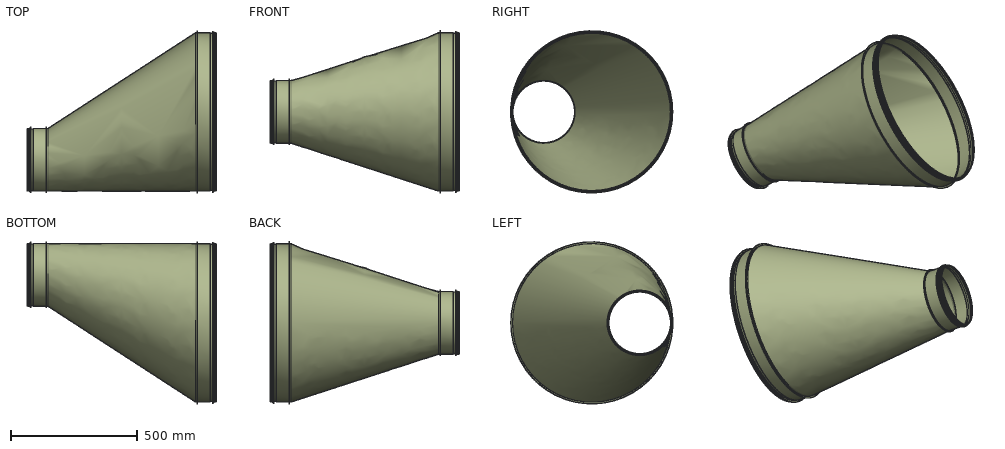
import cadquery as cq

length = 750.0
wall = 0.5
small_diameter = 249.0
large_diameter = 629.0
small_flange_diameter = 259.5
large_flange_diameter = 643.0
axis_offset = (large_diameter - small_diameter) / 2

flange_position = 76.5
flange_thickness = 1.1
stub_end = 82.5
step_start = 24.0
step_end = 26.0
step_depth = 1.9
lip_slope = 3.0
lip_end = 7.0

gasket_end = 16.5
shoulder_start = 9.0
shoulder_end = 11.0
shoulder_height = 1.5
fin_crest = 13.5
fin_height = 4.9


def ring(profile):
    """Revolve a closed (distance, radius) profile about the X axis."""
    return cq.Workplane("XY").polyline(profile).close().revolve(360, (0, 0, 0), (1, 0, 0))


def make_collar(diameter, flange_diameter):
    """Tube with a lipped, hemmed gasket seat at X = 0 and a flange at the other end."""
    radius = diameter / 2
    seat = radius - step_depth
    hem = seat - 2 * wall
    return ring([
        (lip_slope, hem),
        (0, seat - wall),
        (0, seat),
        (lip_slope, radius),
        (lip_end, radius),
        (lip_end, seat),
        (step_start, seat),
        (step_end, radius),
        (flange_position - flange_thickness, radius),
        (flange_position - flange_thickness, flange_diameter / 2),
        (flange_position, flange_diameter / 2),
        (flange_position, radius - wall),
        (step_end, radius - wall),
        (step_start, seat - wall),
        (gasket_end, seat - wall),
        (gasket_end, hem),
    ])


def make_gasket(diameter):
    """Seal ring behind the lip, with one fin leaning away from the open end."""
    radius = diameter / 2
    seat = radius - step_depth
    return ring([
        (lip_end, seat),
        (lip_end, radius),
        (shoulder_start, radius),
        (shoulder_start, radius + shoulder_height),
        (shoulder_end, radius + shoulder_height),
        (fin_crest, radius + fin_height),
        (gasket_end, radius + fin_height),
        (gasket_end, seat),
    ])


def place_small(body):
    """Move a part built at the origin onto the axis of the small end."""
    return body.translate((0, -axis_offset, 0))


def place_large(body):
    """Turn a part built at the origin to face the large end."""
    return body.mirror("YZ").translate((length, 0, 0))


def make_stub(diameter, flange_diameter):
    """Solid short neck of the cone with the flange that meets the collar flange."""
    flange = cq.Workplane("YZ", origin=(flange_position, 0, 0)).circle(flange_diameter / 2)
    neck = cq.Workplane("YZ", origin=(flange_position, 0, 0)).circle(diameter / 2)
    return flange.extrude(flange_thickness).union(neck.extrude(stub_end - flange_position))


def make_bore(diameter):
    """Space inside a neck of the cone."""
    neck = cq.Workplane("YZ", origin=(flange_position, 0, 0)).circle(diameter / 2 - wall)
    return neck.extrude(stub_end - flange_position)


def make_taper(inset):
    """Solid oblique cone between the two necks, its radii reduced by the inset."""
    return (
        cq.Workplane("YZ", origin=(stub_end, -axis_offset, 0))
        .circle(small_diameter / 2 - inset)
        .workplane(offset=length - 2 * stub_end)
        .center(axis_offset, 0)
        .circle(large_diameter / 2 - inset)
        .loft(ruled=True)
    )


def make_cone():
    """Thin oblique cone with a flanged neck at each end."""
    outside = (
        make_taper(0)
        .union(place_small(make_stub(small_diameter, small_flange_diameter)))
        .union(place_large(make_stub(large_diameter, large_flange_diameter)))
    )
    return (
        outside
        .cut(make_taper(wall))
        .cut(place_small(make_bore(small_diameter)))
        .cut(place_large(make_bore(large_diameter)))
    )


cone = make_cone()
small_collar = place_small(make_collar(small_diameter, small_flange_diameter))
large_collar = place_large(make_collar(large_diameter, large_flange_diameter))
small_gasket = place_small(make_gasket(small_diameter))
large_gasket = place_large(make_gasket(large_diameter))

result = cq.Compound.makeCompound([
    cone.val(),
    small_collar.val(),
    large_collar.val(),
    small_gasket.val(),
    large_gasket.val(),
])